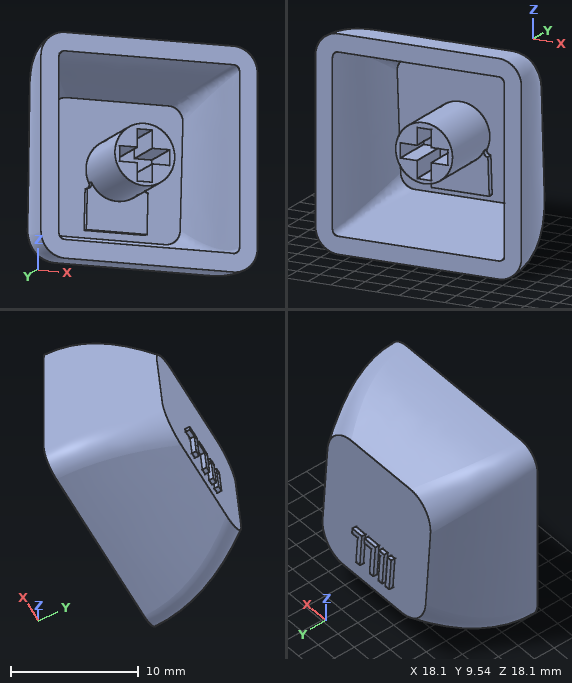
import cadquery as cq
import math


BASE_HALF = 9.05
FACE_HALF = 6.34
FACE_Y = 8.85
FACE_TILT = 3.9
BASE_CORNER = 2.01
CORNER_GROWTH = 0.7
WALL = 1.5
FLOOR_Y = FACE_Y - WALL
FLOOR_HALF = 5.48
LOFT_STEPS = 4

STEM_RADIUS = 5.0 / 2
STEM_END_Y = 0.98
CROSS_LENGTH = 4.18
CROSS_WIDTH = 1.25
CROSS_DEPTH = 3.98
CROSS_Z = -0.07

PAD_HALF_WIDTH = 2.53
PAD_TOP_Z = -1.61
PAD_BOTTOM_Z = -4.89
PAD_THICKNESS = 0.5

LEGEND_RISE = 0.38
LEGEND_TOP_Z = -1.72
LEGEND_BOTTOM_Z = -4.69
STROKE = 0.47
CHARACTERS = [(-2.39, STROKE), (-1.54, 0.65), (-0.45, 1.34), (1.21, 1.18)]


def tilted_plane(y, tilt):
    """Plane across the stem axis at y that faces the opening, with X right and Z up."""
    angle = math.radians(tilt)
    return cq.Plane(origin=(0, y, 0), xDir=(1, 0, 0), normal=(0, -math.cos(angle), -math.sin(angle)))


def curved_block(base_half, end_half, end_y, base_corner):
    """Rounded square that narrows along a parabola while its sections tilt steadily."""
    sections = []
    for step in range(LOFT_STEPS + 1):
        t = step / LOFT_STEPS
        half = base_half - (base_half - end_half) * t**2
        corner = base_corner + CORNER_GROWTH * t**2
        outline = cq.Sketch().rect(2 * half, 2 * half).vertices().fillet(corner)
        sections.append(outline.moved(cq.Location(tilted_plane(end_y * t, FACE_TILT * t))))
    return cq.Workplane().placeSketch(*sections).loft()


def make_cavity():
    return curved_block(BASE_HALF - WALL, FLOOR_HALF, FLOOR_Y, BASE_CORNER - WALL)


def make_legend():
    """Strokes from the floor to above the outer face: an upright and an upper bar per character."""
    length = WALL * math.cos(math.radians(FACE_TILT)) + LEGEND_RISE
    height = LEGEND_TOP_Z - LEGEND_BOTTOM_Z
    plane = cq.Workplane(tilted_plane(FLOOR_Y, FACE_TILT))
    legend = cq.Workplane()
    for left, width in CHARACTERS:
        upright = plane.moveTo(left, LEGEND_BOTTOM_Z).rect(STROKE, height, centered=False).extrude(-length)
        bar = plane.moveTo(left, LEGEND_TOP_Z - STROKE).rect(width, STROKE, centered=False).extrude(-length)
        legend = legend.add(upright.union(bar))
    return legend.combine()


def make_pad():
    """Pad below the stem, its upper corners blended into the stem by tangent fillets."""
    fillet = (PAD_HALF_WIDTH**2 + PAD_TOP_Z**2 - STEM_RADIUS**2) / (2 * (STEM_RADIUS - PAD_TOP_Z))
    centre_z = PAD_TOP_Z + fillet
    toward_stem = math.atan2(-centre_z, -PAD_HALF_WIDTH) % (2 * math.pi)
    toward_edge = 1.5 * math.pi

    def fillet_point(angle, side):
        x = PAD_HALF_WIDTH + fillet * math.cos(angle)
        return (side * x, centre_z + fillet * math.sin(angle))

    middle = (toward_stem + toward_edge) / 2
    return (
        cq.Workplane(tilted_plane(FLOOR_Y, FACE_TILT))
        .moveTo(-PAD_HALF_WIDTH, PAD_BOTTOM_Z)
        .lineTo(PAD_HALF_WIDTH, PAD_BOTTOM_Z)
        .lineTo(PAD_HALF_WIDTH, PAD_TOP_Z)
        .threePointArc(fillet_point(middle, 1), fillet_point(toward_stem, 1))
        .lineTo(*fillet_point(toward_stem, -1))
        .threePointArc(fillet_point(middle, -1), (-PAD_HALF_WIDTH, PAD_TOP_Z))
        .close()
        .extrude(PAD_THICKNESS)
    )


def make_cap(cavity, legend):
    outside = curved_block(BASE_HALF, FACE_HALF, FACE_Y, BASE_CORNER)
    return outside.cut(cavity).cut(legend)


def make_stem(cavity, legend):
    end = cq.Workplane(tilted_plane(STEM_END_Y, 0))
    post = end.circle(STEM_RADIUS).extrude(STEM_END_Y - FACE_Y).intersect(cavity)
    socket = end.center(0, CROSS_Z)
    upright = socket.rect(CROSS_WIDTH, CROSS_LENGTH).extrude(-CROSS_DEPTH)
    crossbar = socket.rect(CROSS_LENGTH, CROSS_WIDTH).extrude(-CROSS_DEPTH)
    return post.union(make_pad()).union(legend).cut(upright).cut(crossbar)


cavity = make_cavity()
legend = make_legend()
cap = make_cap(cavity, legend)
stem = make_stem(cavity, legend)

result = cq.Compound.makeCompound([cap.solids().val(), stem.solids().val()])